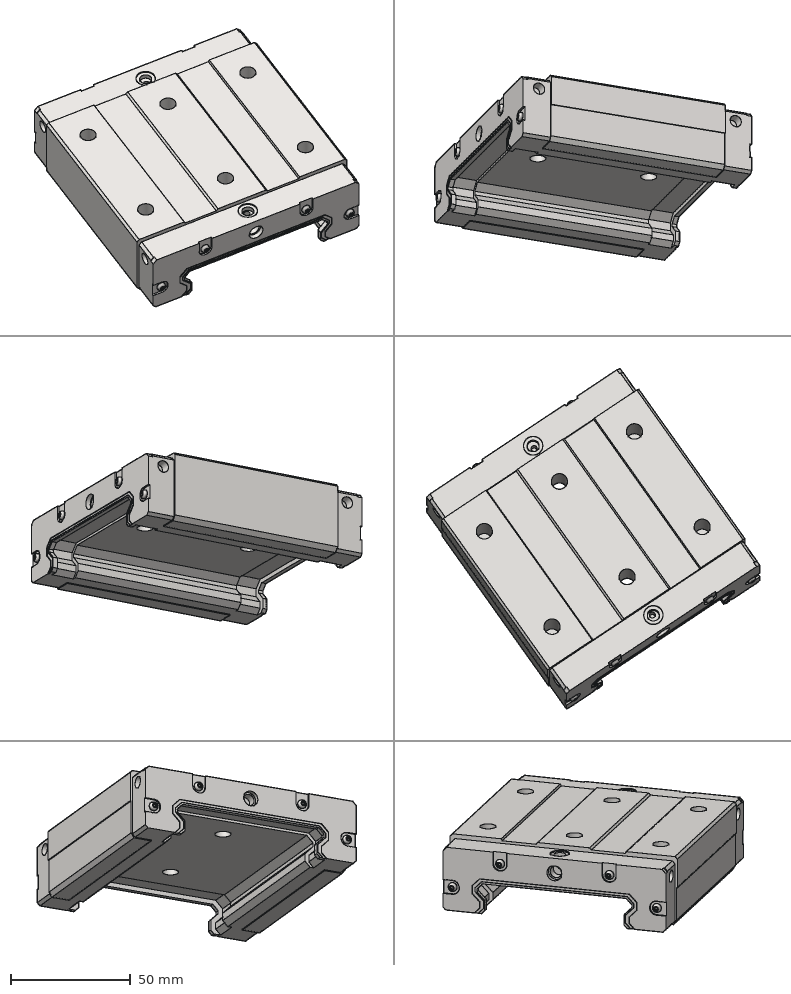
import cadquery as cq

HALF_LENGTH = 52.2
BLOCK_HALF = 39.2
CAP_HALF = 49.4
PLATE_HALF = 51.5

BLOCK_HEIGHT = 30.0
BLOCK_WIDTH = 100.0
BLOCK_HALF_WIDTH = BLOCK_WIDTH / 2
BLOCK_TOP_CHAMFER = 1.0
FOOT_OUTER_Y = 48.3
FOOT_INNER_Y = 40.2
FOOT_CHAMFER_HEIGHT = 2.1
RELIEF_HEIGHT = 16.3
RELIEF_DEPTH = 0.4

GROOVE_DEPTH = 0.8
GROOVE_INNER_Y = 10.9
GROOVE_OUTER_Y = 26.3
GROOVE_INNER_SLOPE = 0.8
GROOVE_OUTER_SLOPE = 0.4

CAP_HALF_WIDTH = 49.0
CAP_TOP = 28.0
CAP_BOTTOM = 0.4
CAP_TOP_CHAMFER = 1.3
PLATE_TOP_CHAMFER = 1.7
END_BOTTOM_CHAMFER = 1.3
LIP_GROOVE_DEPTH = 0.3

CUT_BELOW = -1.0
LIP_CHANNEL = [(31.6, 13.6), (34.1, 11.1), (34.1, 9.8), (30.6, 6.4), (30.6, 1.9), (32.1, 0.4)]
BLOCK_CHANNEL = [(32.0, 14.4), (34.9, 11.5), (34.9, 9.8), (31.1, 6.1), (31.1, 2.8), (33.5, 0.4)]
CAP_CHANNEL = [(32.9, 15.6), (36.2, 12.3), (36.2, 8.8), (32.9, 5.5), (32.9, 2.7), (35.2, 0.4)]

MOUNT_DIAMETER = 6.7
MOUNT_X = 25.0
MOUNT_Y = 38.0
MOUNT_DEPTH = 16.5

PORT_X = 44.3
PORT_DIAMETER = 5.0
TOP_SEAT_DIAMETER = 8.0
TOP_SEAT_DEPTH = 0.5
TOP_PORT_DEPTH = 2.5
FEED_DIAMETER = 2.5
FEED_X = 43.6
END_PORT_Z = 21.4
END_PORT_DEPTH = 4.2
END_CLEARANCE_DIAMETER = 6.5
SIDE_PORT_Z = 23.0
SIDE_PORT_FLOOR_DIAMETER = 4.0
SIDE_PORT_DEPTH = 4.2

UPPER_SCREW_Y = 24.0
UPPER_SCREW_Z = 23.0
SIDE_SCREW_Y = 44.9
SIDE_SCREW_Z = 10.7
SLOT_RADIUS = 3.0
SLOT_DEPTH = 0.8
HEAD_DIAMETER = 3.8
HEAD_TOP_DIAMETER = 2.1
HEAD_SHOULDER = 0.4
HEAD_CROWN = 0.16
SOCKET_DIAMETER = 1.3
SOCKET_DEPTH = 0.6


def mirror_x(solid):
    """Return the solid together with its mirror image at the other end."""
    return solid.union(solid.mirror("YZ"))


def extrude_section(points, start, end):
    """Extrude a (y, z) outline along X from start to end."""
    return cq.Workplane("YZ", origin=(start, 0, 0)).polyline(points).close().extrude(end - start)


def cylinder_x(diameter, start, end, y, z):
    """Cylinder along X between two X positions."""
    return cq.Workplane("YZ", origin=(start, y, z)).circle(diameter / 2).extrude(end - start)


def cylinder_down(diameter, x, depth):
    """Cylinder going down from the top of an end cap, on its middle line."""
    return cq.Workplane("XY", origin=(x, 0, CAP_TOP)).circle(diameter / 2).extrude(-depth)


def channel_cutter(half_outline, start, end):
    """Rail channel with the given half outline, open at the bottom."""
    half = half_outline + [(half_outline[-1][0], CUT_BELOW)]
    other_half = [(-y, z) for y, z in reversed(half)]
    return extrude_section(half + other_half, start, end)


def end_body(start, end, top_chamfer):
    """Chamfered rectangular slab shared by the end caps and the plates."""
    half = [
        (CAP_HALF_WIDTH - top_chamfer, CAP_TOP),
        (CAP_HALF_WIDTH, CAP_TOP - top_chamfer),
        (CAP_HALF_WIDTH, CAP_BOTTOM + END_BOTTOM_CHAMFER),
        (CAP_HALF_WIDTH - END_BOTTOM_CHAMFER, CAP_BOTTOM),
    ]
    other_half = [(-y, z) for y, z in reversed(half)]
    return extrude_section(half + other_half, start, end)


def groove_cutter(side):
    """Groove in the block top; side is 1 for +Y and -1 for -Y."""
    floor = BLOCK_HEIGHT - GROOVE_DEPTH
    points = [
        (side * GROOVE_INNER_Y, BLOCK_HEIGHT),
        (side * (GROOVE_INNER_Y + GROOVE_INNER_SLOPE), floor),
        (side * (GROOVE_OUTER_Y - GROOVE_OUTER_SLOPE), floor),
        (side * GROOVE_OUTER_Y, BLOCK_HEIGHT),
    ]
    return extrude_section(points, -BLOCK_HALF, BLOCK_HALF)


def make_block():
    """Steel block with its feet, side relief, top grooves, channel and holes."""
    top_edge_y = BLOCK_HALF_WIDTH - BLOCK_TOP_CHAMFER
    top_edge_z = BLOCK_HEIGHT - BLOCK_TOP_CHAMFER
    relief_y = BLOCK_HALF_WIDTH - RELIEF_DEPTH
    outline = [
        (-top_edge_y, BLOCK_HEIGHT),
        (top_edge_y, BLOCK_HEIGHT),
        (BLOCK_HALF_WIDTH, top_edge_z),
        (BLOCK_HALF_WIDTH, RELIEF_HEIGHT),
        (relief_y, RELIEF_HEIGHT),
        (relief_y, FOOT_CHAMFER_HEIGHT),
        (FOOT_OUTER_Y, 0),
        (FOOT_INNER_Y, 0),
        (FOOT_INNER_Y, CAP_BOTTOM),
        (-FOOT_INNER_Y, CAP_BOTTOM),
        (-FOOT_INNER_Y, 0),
        (-FOOT_OUTER_Y, 0),
        (-BLOCK_HALF_WIDTH, FOOT_CHAMFER_HEIGHT),
        (-BLOCK_HALF_WIDTH, top_edge_z),
    ]
    block = extrude_section(outline, -BLOCK_HALF, BLOCK_HALF)
    block = block.cut(channel_cutter(BLOCK_CHANNEL, -BLOCK_HALF, BLOCK_HALF))
    for side in (-1, 1):
        block = block.cut(groove_cutter(side))
    holes = (
        cq.Workplane("XY", origin=(0, 0, BLOCK_HEIGHT))
        .rarray(2 * MOUNT_X, MOUNT_Y, 2, 3)
        .circle(MOUNT_DIAMETER / 2)
        .extrude(-MOUNT_DEPTH)
    )
    return block.cut(holes)


def top_port_cutter():
    """Vertical port with a shallow seat and an offset feed hole down to the end port."""
    seat = cylinder_down(TOP_SEAT_DIAMETER, PORT_X, TOP_SEAT_DEPTH)
    bore = cylinder_down(PORT_DIAMETER, PORT_X, TOP_PORT_DEPTH)
    feed = cylinder_down(FEED_DIAMETER, FEED_X, CAP_TOP - END_PORT_Z)
    return seat.union(bore).union(feed)


def side_port_cutter(side):
    """Blind tapered port in one side of the cap."""
    profile = [
        (0, 0),
        (PORT_DIAMETER / 2, 0),
        (SIDE_PORT_FLOOR_DIAMETER / 2, SIDE_PORT_DEPTH),
        (0, SIDE_PORT_DEPTH),
    ]
    cutter = cq.Workplane("XY").polyline(profile).close().revolve(360, (0, 0, 0), (0, 1, 0))
    cutter = cutter.translate((PORT_X, -CAP_HALF_WIDTH, SIDE_PORT_Z))
    return cutter if side < 0 else cutter.mirror("XZ")


def make_cap():
    """End cap at +X with its channel and lubrication ports."""
    cap = end_body(BLOCK_HALF, CAP_HALF, CAP_TOP_CHAMFER)
    cap = cap.cut(channel_cutter(CAP_CHANNEL, BLOCK_HALF, CAP_HALF))
    cap = cap.cut(top_port_cutter())
    cap = cap.cut(cylinder_x(PORT_DIAMETER, CAP_HALF - END_PORT_DEPTH, CAP_HALF, 0, END_PORT_Z))
    for side in (-1, 1):
        cap = cap.cut(side_port_cutter(side))
    return cap


def slot_cutter(y, z, width_to_edge, height_to_edge):
    """Round-ended slot in the plate face, running out to the nearest edge.

    A zero distance means that the slot does not run out in that direction.
    """
    floor = PLATE_HALF - SLOT_DEPTH
    slot_width = 2 * SLOT_RADIUS
    round_end = cylinder_x(slot_width, floor, PLATE_HALF, y, z)
    width = abs(width_to_edge) or slot_width
    height = height_to_edge or slot_width
    run_out = cq.Workplane("XY").box(SLOT_DEPTH, width, height)
    run_out = run_out.translate((floor + SLOT_DEPTH / 2, y + width_to_edge / 2, z + height_to_edge / 2))
    return round_end.union(run_out)


def make_screw(y, z):
    """Domed screw head with a flat, socketed top."""
    seat_x = PLATE_HALF - SLOT_DEPTH
    height = HALF_LENGTH - seat_x
    radius = HEAD_DIAMETER / 2
    top_radius = HEAD_TOP_DIAMETER / 2
    crown = (
        (HEAD_SHOULDER + height) / 2 + HEAD_CROWN,
        (radius + top_radius) / 2 + HEAD_CROWN,
    )
    head = (
        cq.Workplane("XY")
        .lineTo(0, radius)
        .lineTo(HEAD_SHOULDER, radius)
        .threePointArc(crown, (height, top_radius))
        .lineTo(height, 0)
        .close()
        .revolve(360, (0, 0, 0), (1, 0, 0))
        .translate((seat_x, y, z))
    )
    return head.cut(cylinder_x(SOCKET_DIAMETER, HALF_LENGTH - SOCKET_DEPTH, HALF_LENGTH, y, z))


def make_plate():
    """Plate at +X with its sealing lip set off by a shallow groove, port clearance, slots and screws."""
    plate = end_body(CAP_HALF, PLATE_HALF, PLATE_TOP_CHAMFER)
    plate = plate.cut(channel_cutter(LIP_CHANNEL, CAP_HALF, PLATE_HALF))
    groove_floor = PLATE_HALF - LIP_GROOVE_DEPTH
    groove = channel_cutter(CAP_CHANNEL, groove_floor, PLATE_HALF)
    groove = groove.cut(channel_cutter(BLOCK_CHANNEL, groove_floor, PLATE_HALF))
    plate = plate.cut(groove)
    plate = plate.cut(cylinder_x(END_CLEARANCE_DIAMETER, CAP_HALF, PLATE_HALF, 0, END_PORT_Z))
    for side in (-1, 1):
        upper_y = side * UPPER_SCREW_Y
        side_y = side * SIDE_SCREW_Y
        plate = plate.cut(slot_cutter(upper_y, UPPER_SCREW_Z, 0, CAP_TOP - UPPER_SCREW_Z))
        plate = plate.cut(slot_cutter(side_y, SIDE_SCREW_Z, side * CAP_HALF_WIDTH - side_y, 0))
        plate = plate.union(make_screw(upper_y, UPPER_SCREW_Z))
        plate = plate.union(make_screw(side_y, SIDE_SCREW_Z))
    return plate


result = make_block().union(mirror_x(make_cap().union(make_plate())))